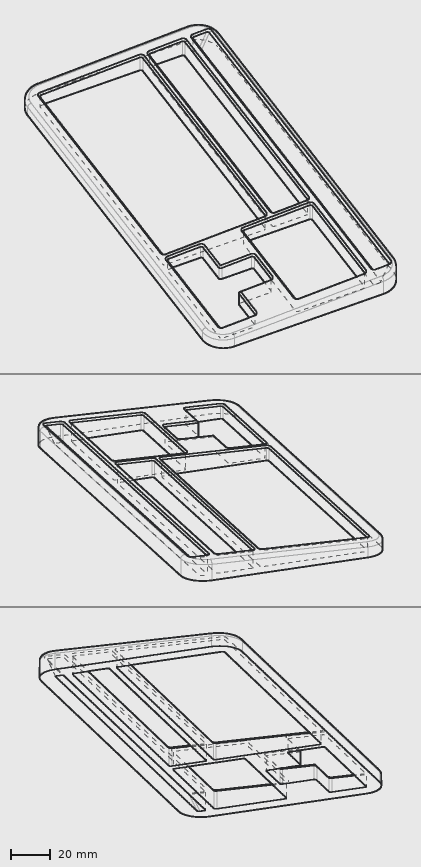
import cadquery as cq
import math

LENGTH = 213.26
WIDTH = 108.49
HEIGHT = 11.22
CORNER_RADIUS = 12.0
TOP_TILT = 2.0
RIM_RADIUS = 2.02

KEY_PITCH = 19.05
KEY_CLEARANCE = 0.95
SIDE_MARGIN = 8.5
FRONT_MARGIN = 8.5
ROW_GAP = 3.9
OPENING_CORNER_RADIUS = 1.04
ARROW_SHOULDER_RADIUS = 1.15
OPENING_CHAMFER = 1.0
TOOL_MARGIN = 1.0

SLOT_FRONT_GAP = 4.7
SLOT_BACK_MARGIN = 3.75
SLOT_BACK_RUN = 5.13

LEFT = -LENGTH / 2 + SIDE_MARGIN
RIGHT = LENGTH / 2 - SIDE_MARGIN
FRONT = -WIDTH / 2 + FRONT_MARGIN


def keys(count):
    """Opening size for a number of keys side by side."""
    return count * KEY_PITCH + KEY_CLEARANCE


ROW_FRONT = FRONT + keys(3) + ROW_GAP
ROW_BACK = ROW_FRONT + keys(1)
SLOT_FRONT = ROW_BACK + SLOT_FRONT_GAP
SLOT_BACK = WIDTH / 2 - SLOT_BACK_MARGIN
SLOPE = math.tan(math.radians(TOP_TILT))
BACK_TOP = HEIGHT + RIM_RADIUS * (SLOPE + 1 / math.cos(math.radians(TOP_TILT)) - 1)
FRONT_TOP = BACK_TOP - WIDTH * SLOPE


def frame_blank():
    profile = [
        (-WIDTH / 2, 0),
        (WIDTH / 2, 0),
        (WIDTH / 2, BACK_TOP),
        (-WIDTH / 2, FRONT_TOP),
    ]
    wedge = cq.Workplane("YZ").polyline(profile).close().extrude(LENGTH / 2, both=True)
    return wedge.edges("|Z").fillet(CORNER_RADIUS)


def through_prism(points):
    return cq.Workplane("XY").polyline(points).close().extrude(HEIGHT + TOOL_MARGIN)


def box_opening(left, right, front, back):
    points = [(left, front), (right, front), (right, back), (left, back)]
    return through_prism(points).edges("|Z").fillet(OPENING_CORNER_RADIUS)


def arrow_opening():
    """Inverted T: a row of three keys with one more key behind the middle one."""
    left = RIGHT - keys(3)
    stem_left = (left + RIGHT - keys(1)) / 2
    stem_right = stem_left + keys(1)
    shoulder = FRONT + keys(1)
    stem_back = FRONT + keys(2)
    prism = through_prism([
        (left, FRONT),
        (RIGHT, FRONT),
        (RIGHT, shoulder),
        (stem_right, shoulder),
        (stem_right, stem_back),
        (stem_left, stem_back),
        (stem_left, shoulder),
        (left, shoulder),
    ])
    for stem_side in (stem_left, stem_right):
        corner = cq.selectors.NearestToPointSelector((stem_side, shoulder, HEIGHT / 2))
        prism = prism.edges("|Z").edges(corner).fillet(ARROW_SHOULDER_RADIUS)
    hollow_corners = [
        (left, FRONT),
        (RIGHT, FRONT),
        (RIGHT, shoulder),
        (left, shoulder),
        (stem_left, stem_back),
        (stem_right, stem_back),
    ]
    for x, y in hollow_corners:
        corner = cq.selectors.NearestToPointSelector((x, y, HEIGHT / 2))
        prism = prism.edges("|Z").edges(corner).fillet(OPENING_CORNER_RADIUS)
    return prism


def rear_slot():
    slope_run_per_height = SLOT_BACK_RUN / HEIGHT
    tool_top = HEIGHT + TOOL_MARGIN
    back_bottom = SLOT_BACK - SLOT_BACK_RUN
    profile = [
        (SLOT_FRONT, 0),
        (back_bottom, 0),
        (back_bottom + tool_top * slope_run_per_height, tool_top),
        (SLOT_FRONT, tool_top),
    ]
    slot = cq.Workplane("YZ").polyline(profile).close().extrude(RIGHT, both=True)
    return slot.faces("|X").edges("not |Y").fillet(OPENING_CORNER_RADIUS)


def top_face(frame):
    tilt = math.radians(TOP_TILT)
    normal = cq.Vector(0, -math.sin(tilt), math.cos(tilt))
    return frame.faces(cq.selectors.DirectionMinMaxSelector(normal))


frame = frame_blank()
openings = [
    box_opening(LEFT, LEFT + keys(7), FRONT, FRONT + keys(3)),
    box_opening(LEFT, LEFT + keys(7), ROW_FRONT, ROW_BACK),
    box_opening(RIGHT - keys(3), RIGHT, ROW_BACK - keys(2), ROW_BACK),
    arrow_opening(),
    rear_slot(),
]
for opening in openings:
    frame = frame.cut(opening)

opening_edges = []
for rim in top_face(frame).val().innerWires():
    opening_edges += rim.Edges()
frame = frame.newObject(opening_edges).chamfer(OPENING_CHAMFER)

outer_edges = top_face(frame).val().outerWire().Edges()
result = frame.newObject(outer_edges).fillet(RIM_RADIUS)